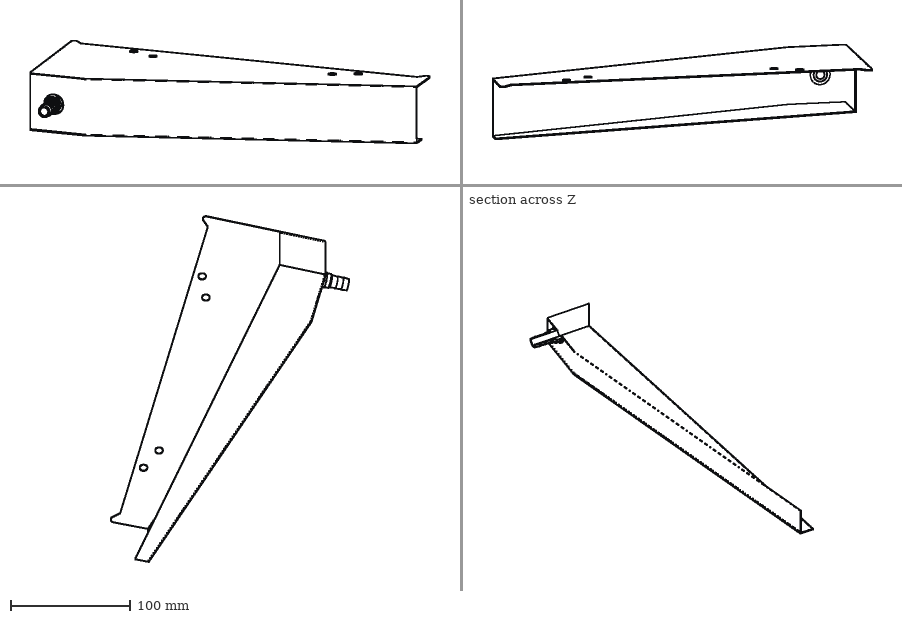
import cadquery as cq
import math

length = 320.0
height = 50.0
sheet = 1.0
front_width = 50.0
tip_x = 319.5
tip_y = 72.5
corner_radius = 2.2
knee_radius = 2.0

top_edge_y = 100.0
bottom_end_y = 84.5
ear_height = 6.0
left_ear_base = 10.0
right_ear_base = 10.2
ear_radius = 2.5
end_lean = (length - tip_x) / (top_edge_y + ear_height - ear_radius - tip_y)

hole_diameter = 6.5
outer_hole_inset = 60.0
inner_hole_inset = 80.0
outer_hole_y = 92.2
inner_hole_y = 84.0

left_wall_depth = 40.0

fitting_x = 22.0
bore_diameter = 7.0
spigot_diameter = 11.5
washer_diameter = 17.0
washer_end = 1.0
hex_across_flats = 12.8
hex_end = 5.0
collar_diameter = 12.2
collar_end = 8.5
neck_end = 9.5
barb_diameter = 11.0
barb_root_diameter = 10.0
barb_count = 3
fitting_end = 24.3


def end_x(y):
    """X of the narrow end at a given Y."""
    return tip_x + end_lean * (y - tip_y)


def extrude_plate(back_edge, bottom_z):
    """Flat plate with the shared front outline and its own back edge, listed from +X to -X."""
    outline = [(0, 0), (front_width, 0), (tip_x, tip_y), *back_edge]
    plate = cq.Workplane("XY", origin=(0, 0, bottom_z)).polyline(outline).close().extrude(sheet)
    return round_edge(plate, (0, 0, bottom_z), corner_radius)


def round_edge(body, point, radius):
    """Fillet the vertical edge nearest to a point."""
    selector = cq.selectors.NearestToPointSelector(point)
    return body.edges("|Z").edges(selector).fillet(radius)


def make_top_plate():
    """Top plate with rounded ears and two mounting holes near each end."""
    bottom_z = height - sheet
    ear_y = top_edge_y + ear_height
    right_ear_x = end_x(ear_y)
    back_edge = [
        (right_ear_x, ear_y),
        (right_ear_x - right_ear_base + ear_height, ear_y),
        (right_ear_x - right_ear_base, top_edge_y),
        (left_ear_base, top_edge_y),
        (left_ear_base - ear_height, ear_y),
        (0, ear_y),
    ]
    plate = extrude_plate(back_edge, bottom_z)
    plate = plate.edges("|Z and >Y").fillet(ear_radius)

    holes = [
        (outer_hole_inset, outer_hole_y),
        (inner_hole_inset, inner_hole_y),
        (length - inner_hole_inset, inner_hole_y),
        (length - outer_hole_inset, outer_hole_y),
    ]
    cutters = (
        cq.Workplane("XY", origin=(0, 0, bottom_z))
        .pushPoints(holes)
        .circle(hole_diameter / 2)
        .extrude(sheet)
    )
    return plate.cut(cutters)


def make_bottom_plate():
    """Bottom plate whose back edge runs straight from the narrow end to the left wall."""
    return extrude_plate([(end_x(bottom_end_y), bottom_end_y), (0, left_wall_depth)], 0)


def make_side_wall():
    """Bent strip joining the plates: left wall, front wall and slanted wall."""
    slant = math.atan2(tip_y, tip_x - front_width)
    inner_knee_x = front_width - sheet * math.tan(slant / 2)
    inner_tip = (tip_x - sheet * math.sin(slant), tip_y + sheet * math.cos(slant))
    outline = [
        (0, left_wall_depth),
        (0, 0),
        (front_width, 0),
        (tip_x, tip_y),
        inner_tip,
        (inner_knee_x, sheet),
        (sheet, sheet),
        (sheet, left_wall_depth),
    ]
    wall = (
        cq.Workplane("XY")
        .polyline(outline)
        .close()
        .extrude(height)
    )

    bends = [
        (0, 0, corner_radius),
        (sheet, sheet, corner_radius - sheet),
        (front_width, 0, knee_radius),
        (inner_knee_x, sheet, knee_radius - sheet),
    ]
    for x, y, radius in bends:
        wall = round_edge(wall, (x, y, height / 2), radius)
    return wall


def make_bracket():
    """One-piece bracket: plates joined by the bent wall, with a hole for the fitting."""
    bracket = make_side_wall().union(make_top_plate()).union(make_bottom_plate()).clean()
    return bracket.cut(fitting_disc(spigot_diameter, -sheet, 0))


def fitting_plane(station):
    """Workplane across the fitting axis, facing away from the front wall."""
    return cq.Workplane("XZ", origin=(fitting_x, -station, height / 2))


def fitting_disc(diameter, start, end):
    return fitting_plane(start).circle(diameter / 2).extrude(end - start)


def make_washer():
    """Thin washer between the front wall and the hexagon."""
    washer = fitting_disc(washer_diameter, 0, washer_end)
    return washer.cut(fitting_disc(spigot_diameter, 0, washer_end))


def make_fitting():
    """Hose fitting: spigot, hexagon, collar, neck and barbs around a through bore."""
    fitting = fitting_disc(spigot_diameter, -sheet, washer_end)
    hex_across_corners = hex_across_flats / math.cos(math.pi / 6)
    hexagon = fitting_plane(washer_end).polygon(6, hex_across_corners).extrude(hex_end - washer_end)
    fitting = fitting.union(hexagon)
    fitting = fitting.union(fitting_disc(collar_diameter, hex_end, collar_end))
    fitting = fitting.union(fitting_disc(barb_root_diameter, collar_end, neck_end))

    barb_length = (fitting_end - neck_end) / barb_count
    for index in range(barb_count):
        barb = (
            fitting_plane(neck_end + index * barb_length)
            .circle(barb_diameter / 2)
            .workplane(offset=barb_length)
            .circle(barb_root_diameter / 2)
            .loft(ruled=True)
        )
        fitting = fitting.union(barb)
    return fitting.cut(fitting_disc(bore_diameter, -sheet, fitting_end))


bracket = make_bracket()
washer = make_washer()
fitting = make_fitting()

result = cq.Compound.makeCompound([bracket.val(), washer.val(), fitting.val()])